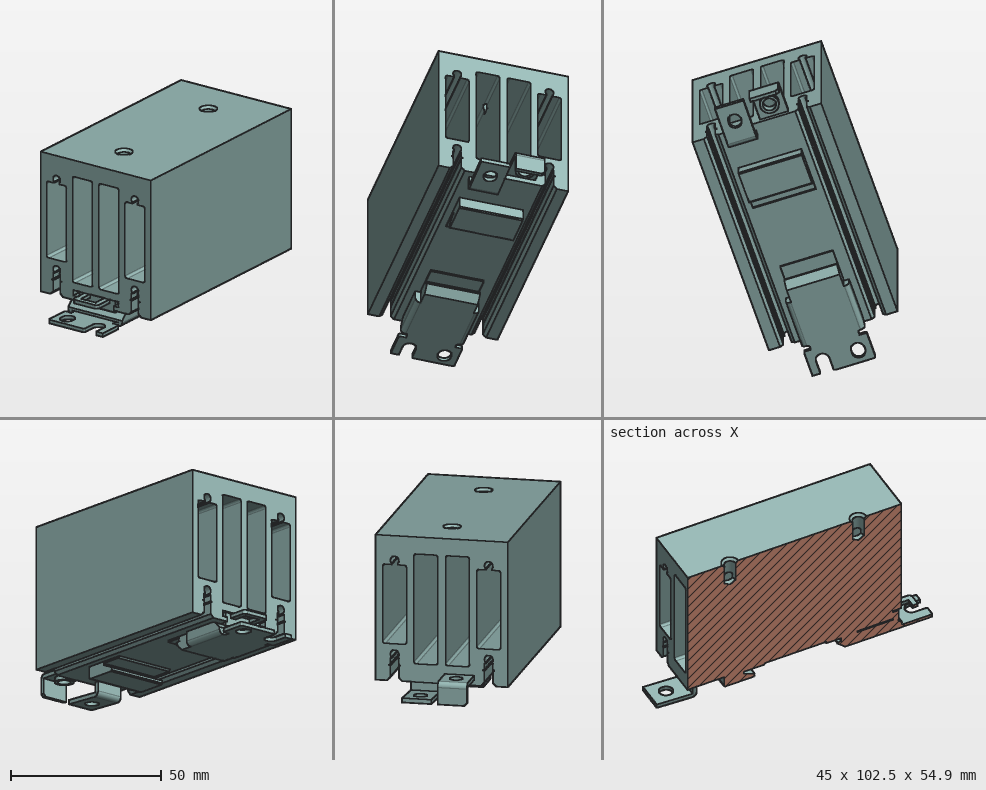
import cadquery as cq
import math


TOTAL_LENGTH = 102.5
TOTAL_HEIGHT = 54.9

SINK_WIDTH = 45.0
SINK_LENGTH = 80.0
SINK_HEIGHT = 49.8
FRONT_REACH = 11.6
BACK_REACH = TOTAL_LENGTH - SINK_LENGTH - FRONT_REACH
CLIP_DEPTH = TOTAL_HEIGHT - SINK_HEIGHT
CLIP_BOTTOM = -CLIP_DEPTH

CENTER_WALL = 2.7
CHANNEL_WIDTH = 8.1
CHANNEL_RADIUS = 0.8
INNER_CHANNEL_Z = (6.3, 44.0)
OUTER_CHANNEL_Z = (12.7, 39.9)
OUTER_CHANNEL_X = 16.0

GROOVE_RADIUS = 1.4
GROOVE_NECK = 2.0
UPPER_GROOVE_Z = 41.3
LOWER_GROOVE_Z = 9.1
LOWER_NECK_BOTTOM = 7.7
GROOVE_NICK_Z = 5.3
GROOVE_NICK = 0.5
GROOVE_CHAMFER = 1.1

TOP_HOLE_Y = (16.1, 64.1)
TOP_HOLE_DIAMETER = 4.1
TOP_HOLE_DEPTH = 8.2
COUNTERSINK_DIAMETER = 5.9
DRILL_POINT_ANGLE = 118.0

RECESS_WIDTH = 18.5
RECESS_Z = (1.5, 3.5)
RECESS_DEPTH = 3.1
TONGUE_Z = (1.8, 3.2)
TONGUE_WIDTH = 10.2
TONGUE_REACH = 6.2
TONGUE_RADIUS = 1.1
TONGUE_SHOULDER_Y = 2.0
TONGUE_SHOULDER_RADIUS = 0.7
WINDOW_WIDTH = 5.9
WINDOW_REACH = 4.2

STOP_WIDTH = 14.7
STOP_Y = (0.9, 3.1)
STOP_Z = (-1.1, 3.5)

CLIP_WIDTH = 22.0
SLIDER_Y = (-0.3, 16.5)
SLIDER_NOSE_Z = -2.8
SLIDER_EDGE_RADIUS = 1.6
SLIDER_GAP = 0.2
SLIDER_NOSE_RADIUS = 2.5
SLIDER_BACK_RADIUS = 0.4
HOOK_WIDTH = 18.5
PAD_THICKNESS = 0.6
SLIDER_PAD_END_Y = 28.0
SLIDER_HOOK_ROOT_Y = 22.6
SLIDER_HOOK_HEEL_Y = 21.0
SLIDER_HOOK_TIP_Y = 23.8
SLIDER_HOOK_TIP_Z = (-2.6, -1.9)
SLIDER_HOOK_ROOT_Z = -1.6

FIXED_HOOK_BACK_Y = 66.3
FIXED_HOOK_ROOT_Y = 59.0
FIXED_HOOK_TIP_Y = 54.9
FIXED_HOOK_PAD_END_Y = 50.9
FIXED_HOOK_BOTTOM = -4.3
FIXED_HOOK_TIP_Z = -3.0
FIXED_HOOK_ROOT_Z = -1.2
FIXED_HOOK_CHAMFER = 0.4

PLATE_THICKNESS = 1.3
PLATE_SHOULDER_Y = -2.0
PLATE_NECK_WIDTH = 17.0
PLATE_CORNER_RADIUS = 0.6
PLATE_NECK_RADIUS = 0.8
LEG_END_Y = -11.3
LEG_SLOT_X = 5.9
LEG_SLOT_WIDTH = 4.6
LEG_SLOT_TOP_Y = -4.5
PLATE_HOLE_X = -6.4
PLATE_HOLE_Y = -7.2
PLATE_HOLE_SIZE = (4.6, 5.4)

BACK_Y = SINK_LENGTH + BACK_REACH
STRAP_WIDTH = 9.9
STRAP_X = 6.0
STRAP_HOLE_Y = SINK_LENGTH + 4.9
STRAP_Z = (1.8, 3.4)
FLANGE_THICKNESS = 1.2
FLANGE_BOTTOM = -4.3
FLANGE_CHAMFER = 0.9
BEND_RADIUS = 1.7
STRAP_HOLE_DIAMETER = 4.4
NUT_DIAMETER = 6.4
NUT_BOTTOM = 0.3
LOWER_STRAP_SHEET = 1.5
LOWER_STRAP_LEG_Y = (76.0, 77.5)
LOWER_STRAP_RISE = 0.7
LOWER_STRAP_HOLE_LENGTH = 4.9


def block(x_range, y_range, z_range):
    """Box between the given limits."""
    size = [high - low for low, high in (x_range, y_range, z_range)]
    return cq.Workplane("XY").box(*size, centered=False).translate((x_range[0], y_range[0], z_range[0]))


def centered_block(width, y_range, z_range):
    """Box centered on X = 0."""
    return block((-width / 2, width / 2), y_range, z_range)


def side_profile(points, width, center_x=0.0):
    """Y-Z outline extruded along X, centered on center_x."""
    profile = cq.Workplane("YZ").polyline(points).close().extrude(width / 2, both=True)
    return profile.translate((center_x, 0, 0))


def upright_slot(x, y, width, length):
    """Cutter for a round-ended slot along Y, passing through the clip parts."""
    cutter_height = 4 * CLIP_DEPTH
    cutter = cq.Workplane("XY").center(x, y).slot2D(length, width, 90)
    return cutter.extrude(cutter_height / 2, both=True)


def channel(x, z_range):
    """Air channel through the sink with rounded corners."""
    left = x - CHANNEL_WIDTH / 2
    cutter = block((left, left + CHANNEL_WIDTH), (0, SINK_LENGTH), z_range)
    return cutter.edges("|Y").fillet(CHANNEL_RADIUS)


def keyhole(x, z, neck_bottom):
    """Round screw groove with a narrower neck below it."""
    bore = cq.Workplane("XZ").center(x, z).circle(GROOVE_RADIUS).extrude(-SINK_LENGTH)
    neck = block((x - GROOVE_NECK / 2, x + GROOVE_NECK / 2), (0, SINK_LENGTH), (neck_bottom, z))
    return bore.union(neck)


def open_groove(x):
    """Groove mouth with a nick in each wall and a chamfered entry."""
    half_outline = [
        (GROOVE_RADIUS, LOWER_NECK_BOTTOM),
        (GROOVE_RADIUS, GROOVE_NICK_Z + GROOVE_NICK / 2),
        (GROOVE_RADIUS + GROOVE_NICK, GROOVE_NICK_Z),
        (GROOVE_RADIUS, GROOVE_NICK_Z - GROOVE_NICK / 2),
        (GROOVE_RADIUS, GROOVE_CHAMFER),
        (GROOVE_RADIUS + GROOVE_CHAMFER, 0),
    ]
    mirrored = [(-px, pz) for px, pz in reversed(half_outline)]
    outline = [(x + px, pz) for px, pz in half_outline + mirrored]
    return cq.Workplane("XZ").polyline(outline).close().extrude(-SINK_LENGTH)


def top_hole(y):
    """Countersunk blind hole with a conical drill point."""
    radius = TOP_HOLE_DIAMETER / 2
    rim = COUNTERSINK_DIAMETER / 2
    floor = SINK_HEIGHT - TOP_HOLE_DEPTH
    tip = floor - radius / math.tan(math.radians(DRILL_POINT_ANGLE / 2))
    countersink_bottom = SINK_HEIGHT - (rim - radius)
    outline = [(0, SINK_HEIGHT), (rim, SINK_HEIGHT), (radius, countersink_bottom), (radius, floor), (0, tip)]
    return cq.Workplane("XZ").polyline(outline).close().revolve(360, (0, 0), (0, 1)).translate((0, y, 0))


def heat_sink():
    sink = centered_block(SINK_WIDTH, (0, SINK_LENGTH), (0, SINK_HEIGHT))
    for side in (-1, 1):
        sink = sink.cut(channel(side * (CENTER_WALL + CHANNEL_WIDTH) / 2, INNER_CHANNEL_Z))
        x = side * OUTER_CHANNEL_X
        sink = sink.cut(channel(x, OUTER_CHANNEL_Z))
        sink = sink.cut(keyhole(x, UPPER_GROOVE_Z, OUTER_CHANNEL_Z[1] - GROOVE_RADIUS))
        sink = sink.cut(keyhole(x, LOWER_GROOVE_Z, LOWER_NECK_BOTTOM))
        sink = sink.cut(open_groove(x))
    for y in TOP_HOLE_Y:
        sink = sink.cut(top_hole(y))
    sink = sink.cut(centered_block(RECESS_WIDTH, (0, RECESS_DEPTH), RECESS_Z))
    return sink.cut(centered_block(STOP_WIDTH, (0, STOP_Y[1]), (0, RECESS_Z[1])))


def tongue():
    """Stop plate and the windowed tongue that projects over it."""
    shoulder = centered_block(RECESS_WIDTH, (TONGUE_SHOULDER_Y, RECESS_DEPTH), TONGUE_Z)
    shoulder = shoulder.edges("|Z and <Y").fillet(TONGUE_SHOULDER_RADIUS)
    tab = centered_block(TONGUE_WIDTH, (-TONGUE_REACH, RECESS_DEPTH), TONGUE_Z)
    tab = tab.edges("|Z and <Y").fillet(TONGUE_RADIUS)
    stop = centered_block(STOP_WIDTH, STOP_Y, STOP_Z)
    stop = stop.cut(centered_block(TONGUE_WIDTH, STOP_Y, (TONGUE_Z[1], STOP_Z[1])))
    window = centered_block(WINDOW_WIDTH, (-WINDOW_REACH, STOP_Y[0]), TONGUE_Z)
    return stop.union(shoulder).union(tab).cut(window)


def slider():
    """Slider body with a sloping nose and the movable rail hook behind it."""
    front, back = SLIDER_Y
    top = -SLIDER_GAP
    slope_top_y = front + top - SLIDER_NOSE_Z
    body = side_profile([
        (slope_top_y, top),
        (front, SLIDER_NOSE_Z),
        (front, CLIP_BOTTOM),
        (back, CLIP_BOTTOM),
        (back, top),
    ], CLIP_WIDTH)
    body = body.edges("|Y and <Z").fillet(SLIDER_EDGE_RADIUS)
    body = body.edges(cq.NearestToPointSelector((0, slope_top_y, top))).fillet(SLIDER_NOSE_RADIUS)
    body = body.edges("|X and >Y and >Z").fillet(SLIDER_BACK_RADIUS)
    tip_low, tip_high = SLIDER_HOOK_TIP_Z
    hook = side_profile([
        (back, 0),
        (back, CLIP_BOTTOM),
        (SLIDER_HOOK_HEEL_Y, CLIP_BOTTOM),
        (SLIDER_HOOK_TIP_Y, tip_low),
        (SLIDER_HOOK_TIP_Y, tip_high),
        (SLIDER_HOOK_ROOT_Y, SLIDER_HOOK_ROOT_Z),
        (SLIDER_HOOK_ROOT_Y, -PAD_THICKNESS),
        (SLIDER_PAD_END_Y, -PAD_THICKNESS),
        (SLIDER_PAD_END_Y, 0),
    ], HOOK_WIDTH)
    return body.union(hook)


def fixed_hook():
    """Rail hook fixed under the rear half of the sink."""
    return side_profile([
        (FIXED_HOOK_BACK_Y, 0),
        (FIXED_HOOK_BACK_Y, FIXED_HOOK_BOTTOM + FIXED_HOOK_CHAMFER),
        (FIXED_HOOK_BACK_Y - FIXED_HOOK_CHAMFER, FIXED_HOOK_BOTTOM),
        (FIXED_HOOK_TIP_Y + FIXED_HOOK_CHAMFER, FIXED_HOOK_BOTTOM),
        (FIXED_HOOK_TIP_Y, FIXED_HOOK_BOTTOM + FIXED_HOOK_CHAMFER),
        (FIXED_HOOK_TIP_Y, FIXED_HOOK_TIP_Z),
        (FIXED_HOOK_ROOT_Y, FIXED_HOOK_ROOT_Z),
        (FIXED_HOOK_ROOT_Y, -PAD_THICKNESS),
        (FIXED_HOOK_PAD_END_Y + PAD_THICKNESS, -PAD_THICKNESS),
        (FIXED_HOOK_PAD_END_Y, 0),
    ], CLIP_WIDTH)


def mounting_plate():
    """Flat plate with an oval hole on the left and an open slot on the right."""
    z_range = (CLIP_BOTTOM, CLIP_BOTTOM + PLATE_THICKNESS)
    half = CLIP_WIDTH / 2
    slot_left = LEG_SLOT_X - LEG_SLOT_WIDTH / 2
    left = block((-half, slot_left), (-FRONT_REACH, PLATE_SHOULDER_Y), z_range)
    left = left.edges("|Z and (<X or <Y)").fillet(PLATE_CORNER_RADIUS)
    right = block((slot_left, half), (LEG_END_Y, PLATE_SHOULDER_Y), z_range)
    right = right.edges("|Z and >X and >Y").fillet(PLATE_CORNER_RADIUS)

    front = SLIDER_Y[0]
    root_width = CLIP_WIDTH - 2 * SLIDER_EDGE_RADIUS
    neck = centered_block(PLATE_NECK_WIDTH, (PLATE_SHOULDER_Y, front), z_range)
    neck = neck.union(centered_block(root_width, (front, 0), z_range))
    for side in (-1, 1):
        corner = (side * PLATE_NECK_WIDTH / 2, front, sum(z_range) / 2)
        neck = neck.edges(cq.NearestToPointSelector(corner)).fillet(PLATE_NECK_RADIUS)

    slot_length = 2 * (LEG_SLOT_TOP_Y + FRONT_REACH)
    plate = left.union(right).union(neck)
    plate = plate.cut(upright_slot(LEG_SLOT_X, -FRONT_REACH, LEG_SLOT_WIDTH, slot_length))
    return plate.cut(upright_slot(PLATE_HOLE_X, PLATE_HOLE_Y, *PLATE_HOLE_SIZE))


def upper_strap():
    """Left strap: flat top, bent-down end flange and a round nut under its hole."""
    x_range = (-STRAP_X - STRAP_WIDTH / 2, -STRAP_X + STRAP_WIDTH / 2)
    strap = block(x_range, (SINK_LENGTH, BACK_Y), (FLANGE_BOTTOM, STRAP_Z[1]))
    strap = strap.edges("|X and >Y and >Z").fillet(BEND_RADIUS)
    strap = strap.edges("|Y and <Z and <X").chamfer(FLANGE_CHAMFER)
    strap = strap.cut(block(x_range, (SINK_LENGTH, BACK_Y - FLANGE_THICKNESS), (FLANGE_BOTTOM, STRAP_Z[0])))
    nut = cq.Workplane("XY").center(-STRAP_X, STRAP_HOLE_Y).circle(NUT_DIAMETER / 2)
    strap = strap.union(nut.extrude(STRAP_Z[0] - NUT_BOTTOM).translate((0, 0, NUT_BOTTOM)))
    bore = cq.Workplane("XY").center(-STRAP_X, STRAP_HOLE_Y).circle(STRAP_HOLE_DIAMETER / 2)
    return strap.cut(bore.extrude(STRAP_Z[1]))


def lower_strap():
    """Right strap: leg hanging from the sink, then a flat rising slightly rearward."""
    front, back = LOWER_STRAP_LEG_Y
    end_z = CLIP_BOTTOM + LOWER_STRAP_RISE
    strap = side_profile([
        (front, 0), (front, CLIP_BOTTOM), (back, CLIP_BOTTOM), (BACK_Y, end_z),
        (BACK_Y, end_z + LOWER_STRAP_SHEET), (back, CLIP_BOTTOM + LOWER_STRAP_SHEET), (back, 0),
    ], STRAP_WIDTH, STRAP_X)
    strap = strap.edges("|X and <Y and <Z").fillet(BEND_RADIUS)
    return strap.cut(upright_slot(STRAP_X, STRAP_HOLE_Y, STRAP_HOLE_DIAMETER, LOWER_STRAP_HOLE_LENGTH))


result = heat_sink()
for clip_part in (tongue(), slider(), fixed_hook(), mounting_plate(), upper_strap(), lower_strap()):
    result = result.union(clip_part)